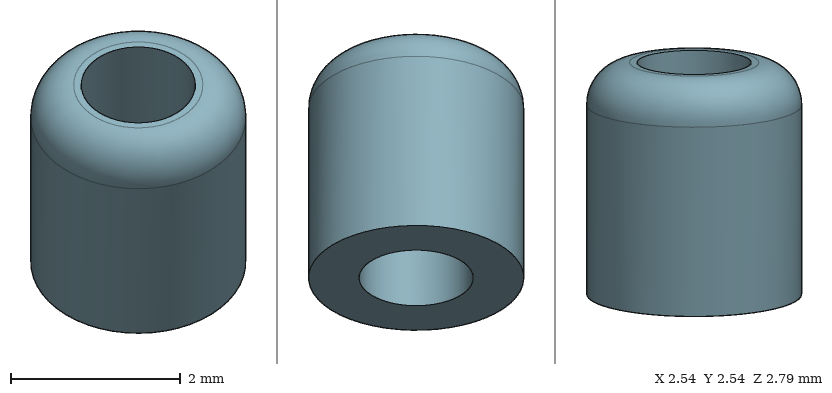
import cadquery as cq

outer_diameter = 2.54
height = 2.794
bore_diameter = 1.346
top_round_radius = 0.508


def sleeve_body():
    """Cylinder standing on Z = 0 with its upper outer edge rounded."""
    cylinder = cq.Workplane("XY").circle(outer_diameter / 2).extrude(height)
    return cylinder.faces(">Z").edges().fillet(top_round_radius)


def through_bore():
    """Plain bore along the full length of the sleeve."""
    return cq.Workplane("XY").circle(bore_diameter / 2).extrude(height)


result = sleeve_body().cut(through_bore())